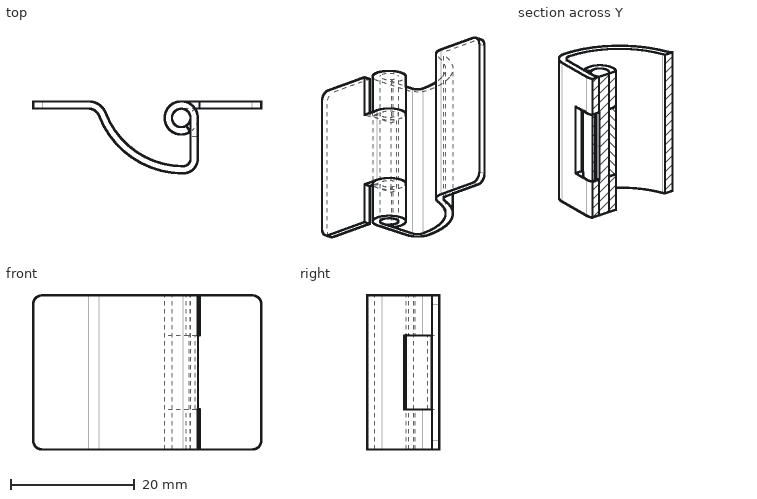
import cadquery as cq
import math


thickness = 1.2
pin_radius = 1.5
roll_radius = pin_radius + thickness
height = 25.0
corner_radius = 1.5

middle_knuckle_height = 12.0
knuckle_clearance = 0.3
relief_reach = roll_radius + knuckle_clearance
free_end_gap_angle = 1.0
roll_angle = 360 - math.degrees(math.acos(pin_radius / roll_radius)) - free_end_gap_angle

flat_leaf_end = 13.0

curved_leaf_end = -24.0
shoulder_start = -15.0
shoulder_radius = 3.0
belly_bottom = -9.0
elbow_radius = 2 * thickness

elbow_center_x = roll_radius - elbow_radius
elbow_center_y = belly_bottom + elbow_radius
shoulder_center_y = roll_radius - shoulder_radius
belly_top_face = belly_bottom + thickness
center_span = elbow_center_x - shoulder_start
center_rise = belly_top_face - shoulder_center_y
belly_inner_radius = (center_span**2 + center_rise**2 - shoulder_radius**2) / (
    2 * (shoulder_radius - center_rise)
)
belly_outer_radius = belly_inner_radius + thickness
belly_center_y = belly_top_face + belly_inner_radius
tangent_angle = math.degrees(math.atan2(belly_center_y - shoulder_center_y, center_span))

pin_axis = (0, 0)
elbow_center = (elbow_center_x, elbow_center_y)
belly_center = (elbow_center_x, belly_center_y)
shoulder_center = (shoulder_start, shoulder_center_y)


def on_circle(center, radius, angle):
    """Point on a circle at an angle in degrees from +X."""
    turn = math.radians(angle)
    return (center[0] + radius * math.cos(turn), center[1] + radius * math.sin(turn))


def add_arc(outline, center, radius, start_angle, end_angle):
    """Continue an outline along an arc that starts at its current end."""
    middle_angle = (start_angle + end_angle) / 2
    return outline.threePointArc(
        on_circle(center, radius, middle_angle),
        on_circle(center, radius, end_angle),
    )


def centered_extrusion(outline, length):
    """Close an XY outline and extrude it equally above and below Z = 0."""
    return outline.close().extrude(length / 2, both=True)


def round_leaf_end(leaf, side):
    """Round the two corners at the free edge of a leaf."""
    return leaf.faces(side).edges("|Y").fillet(corner_radius)


def make_curved_leaf():
    """Leaf with a shoulder, a bulging belly, an upright wall and a roll around the pin."""
    belly_tangent = 180 + tangent_angle
    outline = cq.Workplane("XY").moveTo(curved_leaf_end, roll_radius)

    outline = outline.lineTo(shoulder_start, roll_radius)
    outline = add_arc(outline, shoulder_center, shoulder_radius, 90, tangent_angle)
    outline = add_arc(outline, belly_center, belly_inner_radius, belly_tangent, 270)
    outline = add_arc(outline, elbow_center, elbow_radius - thickness, 270, 360)
    outline = outline.lineTo(pin_radius, 0)
    outline = add_arc(outline, pin_axis, pin_radius, 0, roll_angle)

    outline = outline.lineTo(*on_circle(pin_axis, roll_radius, roll_angle))
    outline = add_arc(outline, pin_axis, roll_radius, roll_angle, 0)
    outline = outline.lineTo(roll_radius, elbow_center_y)
    outline = add_arc(outline, elbow_center, elbow_radius, 360, 270)
    outline = add_arc(outline, belly_center, belly_outer_radius, 270, belly_tangent)
    outline = add_arc(outline, shoulder_center, shoulder_radius - thickness, tangent_angle, 90)
    outline = outline.lineTo(curved_leaf_end, roll_radius - thickness)
    leaf = round_leaf_end(centered_extrusion(outline, height), "<X")

    window = cq.Workplane("XY").box(2 * relief_reach, 2 * relief_reach, middle_knuckle_height)
    return leaf.cut(window)


def make_flat_leaf():
    """Flat leaf whose narrow middle tongue rolls around the pin."""
    plate_width = flat_leaf_end - relief_reach
    plate_center = (relief_reach + plate_width / 2, roll_radius - thickness / 2, 0)
    plate = cq.Workplane("XY").box(plate_width, thickness, height).translate(plate_center)
    plate = round_leaf_end(plate, ">X")

    roll_start = 90
    roll_end = roll_start + roll_angle
    outline = cq.Workplane("XY").moveTo(relief_reach, roll_radius).lineTo(0, roll_radius)
    outline = add_arc(outline, pin_axis, roll_radius, roll_start, roll_end)
    outline = outline.lineTo(*on_circle(pin_axis, pin_radius, roll_end))
    outline = add_arc(outline, pin_axis, pin_radius, roll_end, roll_start)
    outline = outline.lineTo(relief_reach, pin_radius)
    tongue = centered_extrusion(outline, middle_knuckle_height)
    return plate.union(tongue)


def make_pin():
    """Plain pin, flush with both ends of the roll."""
    return cq.Workplane("XY").circle(pin_radius).extrude(height / 2, both=True)


curved_leaf = make_curved_leaf()
flat_leaf = make_flat_leaf()
pin = make_pin()

bodies = [curved_leaf, flat_leaf, pin]
result = cq.Compound.makeCompound([body.solids().val() for body in bodies])